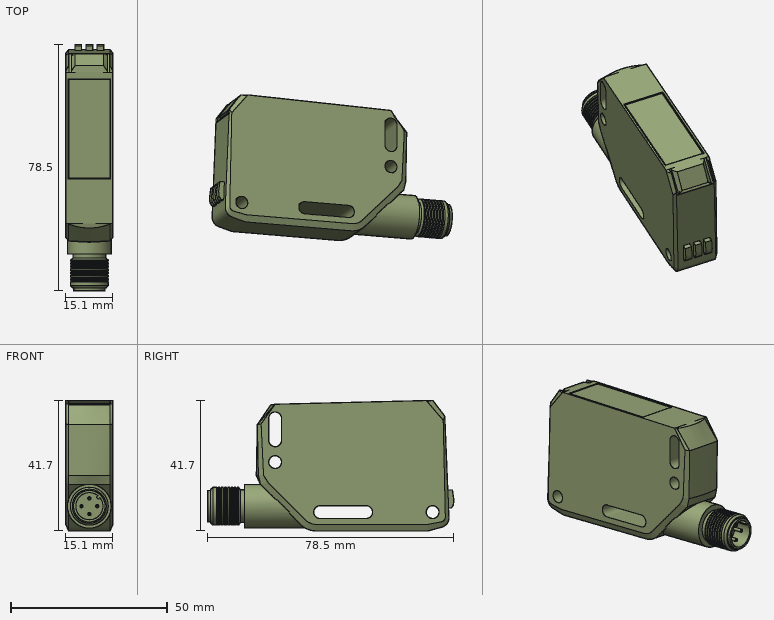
import cadquery as cq
import math


width = 15.1
half_width = width / 2
edge_chamfer = 0.95
core_half_width = half_width - edge_chamfer
height = 41.7
top_peak_y = 71.75
top_slope = math.tan(math.radians(1.4))
top_back_y = 69.6
top_front_y = 21.5
front_top = (15.85, 33.9)
front_bottom = (16.2, 17.75)
chin = (16.9, 14.8)
bottom_front = (chin[0] + chin[1], 0)
bottom_back = (70.2, 0)
back_heel = (77.0, 1.9)
bottom_radius = 7.1
heel_radius = 3.15

bottom_inset = 2.1
face_heel = (75.8, 3.2)
face_back_top = (75.05, 35.3)
face_front_top = (17.0, 34.15)
face_front_bottom = (17.8, 17.75)
diagonal_inset = bottom_inset * math.sqrt(2)
face_chin_y = 19.2
face_chin = (face_chin_y, chin[0] + chin[1] + diagonal_inset - face_chin_y)
face_bottom_radius = bottom_radius - bottom_inset
face_heel_radius = 1.6

top_bulge = 0.1
brow = (21.3, 40.2)
brow_bulge = 1.25
front_bulge_top = 0.1
front_bulge_bottom = 0.7
chin_bulge = 0.1
bulge_root = 3.15

back_top = (75.5, 35.3)
channel_half_width = 6.4
lens_base_half_width = 5.7
lens_top_half_width = 4.55
rail_back = (75.6, 36.6)
lens_back = (75.5, 36.6)
lens_drop = 0.15
lens_root_y = 66.7
lens_peak_share = 0.06

panel_width = 13.6
panel_y_range = (35.7, 67.5)
panel_gap = 0.2
panel_gap_depth = 0.6
panel_recess = 0.15

hole_diameter = 4.0
upper_hole_y = 21.5
round_hole_z = 22.0
upright_slot_z_range = (26.9, 37.9)
lower_hole_z = 6.05
back_hole_y = 71.7
level_slot_y_range = (33.8, 52.5)

button_width = 2.2
button_pitch = 3.5
button_lower_end = (77.65, 7.3)
button_lower_bend = (78.3, 8.2)
button_tip = (78.5, 9.8)
button_upper_end = (78.0, 13.1)
button_root_y = 75.4

plug_z = 7.9
collar_radius = 7.0
collar_front_y = 11.7
collar_root_y = 32.2
collar_overlap = 0.4
neck_radius = 5.25
neck_front_y = 10.45
thread_radius = 6.05
thread_y_range = (1.7, 9.8)
tip_chamfer_radius = 5.4
tip_back_y = 0.95
tip_radius = 5.0
groove_count = 7
groove_pitch = 1.0
groove_first_y = 3.15
groove_depth = 0.4
groove_width = 0.6
bore_radius = 4.3
bore_depth = 6.3
pin_radius = 0.51
pin_circle_radius = 2.5
pin_tip_y = 1.6
pin_tip_chamfer = 0.2
pin_count = 4
key_angle = 45
key_width = 0.95
key_reach = 3.6


def top_z(y):
    """Height of the sloping top at a given Y."""
    return height - (top_peak_y - y) * top_slope


top_back = (top_back_y, top_z(top_back_y))
top_front = (top_front_y, top_z(top_front_y))
top_peak = (top_peak_y, height)


def down_back_slope(foot):
    """Point a set share of the way from the top's back edge to the slope's foot."""
    return tuple(top + lens_peak_share * (low - top) for top, low in zip(top_back, foot))


face_back_middle = down_back_slope(face_back_top)
face_bottom_front = (sum(face_chin) - bottom_inset, bottom_inset)
face_bottom_back = (bottom_back[0], bottom_inset)


def outline(points, x, corner_radii):
    """Closed YZ outline at X; corner_radii maps a point's index to its rounding."""
    corners = [cq.Vector(x, y, z) for y, z in points]
    wire = cq.Wire.makePolygon(corners, close=True)
    for index, radius in corner_radii.items():
        corner = corners[index]
        vertex = min(wire.Vertices(), key=lambda v: (v.Center() - corner).Length)
        wire = wire.fillet2D(radius, [vertex])
    return wire


def make_housing():
    """Core slab with a ruled chamfer layer on each side."""
    core_points = [
        back_heel, rail_back, top_peak, top_back, top_front,
        front_top, front_bottom, chin, bottom_front, bottom_back,
    ]
    face_points = [
        face_heel, face_back_top, face_back_middle, top_back, top_front,
        face_front_top, face_front_bottom, face_chin, face_bottom_front, face_bottom_back,
    ]
    heel = core_points.index(back_heel)
    bottom = core_points.index(bottom_front)
    core_radii = {heel: heel_radius, bottom: bottom_radius}
    face_radii = {heel: face_heel_radius, bottom: face_bottom_radius}
    left = outline(core_points, -core_half_width, core_radii)
    right = outline(core_points, core_half_width, core_radii)
    left_face = outline(face_points, -half_width, face_radii)
    right_face = outline(face_points, half_width, face_radii)
    housing = cq.Workplane(cq.Solid.makeLoft([left, right], True))
    for pair in ([left_face, left], [right, right_face]):
        housing = housing.union(cq.Workplane(cq.Solid.makeLoft(pair, True)))
    return housing


def bulge_section(edge, bulge):
    """Level section of the front: an arc bowed toward -Y over a straight back."""
    y, z = edge
    start = cq.Vector(-core_half_width, y, z)
    end = cq.Vector(core_half_width, y, z)
    back = cq.Vector(0, bulge_root, 0)
    arc = cq.Edge.makeThreePointArc(start, cq.Vector(0, y - bulge, z), end)
    sides = [
        cq.Edge.makeLine(end, end + back),
        cq.Edge.makeLine(end + back, start + back),
        cq.Edge.makeLine(start + back, start),
    ]
    return cq.Wire.assembleEdges([arc] + sides)


def make_front_bulge():
    """Ruled layers down the front: brow slope, front face, chin."""
    sections = [
        bulge_section(chin, chin_bulge),
        bulge_section(front_bottom, front_bulge_bottom),
        bulge_section(front_top, front_bulge_top),
        bulge_section(brow, brow_bulge),
        bulge_section(top_front, top_bulge),
    ]
    return cq.Workplane(cq.Solid.makeLoft(sections, True))


def cut_lens_seat(body):
    """Cut the back slope down between the side rails, to seat the lens."""
    clearance = 2.35
    seat = (
        cq.Workplane("YZ")
        .polyline([
            top_back, back_top, (back_top[0] + clearance, back_top[1]),
            (back_top[0] + clearance, height + clearance), (top_back_y, height + clearance),
        ])
        .close()
        .extrude(channel_half_width, both=True)
    )
    return body.cut(seat)


def make_lens():
    """Raised block on the back slope, its sides leaning inward."""
    base = [top_back, down_back_slope(back_top), back_top, (lens_root_y, back_top[1])]
    crest = [top_back, (top_peak_y, height - lens_drop), lens_back, (lens_root_y, lens_back[1])]

    def section(points, x):
        return cq.Wire.makePolygon([cq.Vector(x, y, z) for y, z in points], close=True)

    layers = [
        section(base, -lens_base_half_width),
        section(crest, -lens_top_half_width),
        section(crest, lens_top_half_width),
        section(base, lens_base_half_width),
    ]
    return cq.Workplane(cq.Solid.makeLoft(layers, True))


def top_block(width_x, y_start, y_end, depth):
    """Cutter that sinks a rectangle to an even depth below the sloping top."""
    clearance = 0.8
    return (
        cq.Workplane("YZ")
        .polyline([
            (y_start, top_z(y_start) - depth), (y_end, top_z(y_end) - depth),
            (y_end, height + clearance), (y_start, height + clearance),
        ])
        .close()
        .extrude(width_x / 2, both=True)
    )


def cut_top_panel(body):
    y_start, y_end = panel_y_range
    pocket = top_block(panel_width, y_start, y_end, panel_gap_depth)
    panel = top_block(
        panel_width - 2 * panel_gap, y_start + panel_gap, y_end - panel_gap, panel_gap_depth
    ).cut(top_block(panel_width, y_start, y_end, panel_recess))
    return body.cut(pocket.cut(panel))


def cut_mounting_holes(body):
    slot_z_start, slot_z_end = upright_slot_z_range
    slot_y_start, slot_y_end = level_slot_y_range
    upright = (upper_hole_y, (slot_z_start + slot_z_end) / 2)
    level = ((slot_y_start + slot_y_end) / 2, lower_hole_z)
    side = cq.Workplane("YZ")
    holes = (
        side.pushPoints([(upper_hole_y, round_hole_z), (back_hole_y, lower_hole_z)])
        .circle(hole_diameter / 2)
        .extrude(width, both=True)
    )
    upright_slot = (
        side.center(*upright)
        .slot2D(slot_z_end - slot_z_start, hole_diameter, 90)
        .extrude(width, both=True)
    )
    level_slot = (
        cq.Workplane("YZ").center(*level)
        .slot2D(slot_y_end - slot_y_start, hole_diameter)
        .extrude(width, both=True)
    )
    return body.cut(holes).cut(upright_slot).cut(level_slot)


def make_buttons():
    button = (
        cq.Workplane("YZ")
        .polyline([
            (button_root_y, button_lower_end[1]), button_lower_end, button_lower_bend,
            button_tip, button_upper_end, (button_root_y, button_upper_end[1]),
        ])
        .close()
        .extrude(button_width / 2, both=True)
    )
    buttons = cq.Workplane()
    for step in (-1, 0, 1):
        buttons = buttons.add(button.translate((step * button_pitch, 0, 0)))
    return buttons.combine()


def revolve_about_plug_axis(profile):
    """Solid of revolution from (radius, y) points."""
    return (
        cq.Workplane("XY", origin=(0, 0, plug_z))
        .polyline(profile)
        .close()
        .revolve(360, (0, 0, 0), (0, 1, 0))
    )


def trim_collar_root(plug):
    """End the collar obliquely, just inside the housing's 45 degree underside."""
    foot_y = bottom_front[0] + collar_overlap
    beyond = (
        cq.Workplane("YZ")
        .polyline([(foot_y, 0), (foot_y - height, height), (foot_y + height, height)])
        .close()
        .extrude(width, both=True)
    )
    return plug.cut(beyond)


def make_plug():
    """Collar, neck, threaded end and tip, turned about the plug axis."""
    thread_front_y, thread_back_y = thread_y_range
    profile = [
        (0, collar_root_y), (collar_radius, collar_root_y), (collar_radius, collar_front_y),
        (neck_radius, collar_front_y), (neck_radius, neck_front_y),
        (thread_radius, thread_back_y), (thread_radius, thread_front_y),
        (tip_chamfer_radius, tip_back_y), (tip_radius, tip_back_y), (tip_radius, 0), (0, 0),
    ]
    plug = revolve_about_plug_axis(profile)
    for i in range(groove_count):
        y = groove_first_y + i * groove_pitch
        groove = [
            (thread_radius, y - groove_width / 2), (thread_radius - groove_depth, y),
            (thread_radius, y + groove_width / 2),
        ]
        plug = plug.cut(revolve_about_plug_axis(groove))
    return trim_collar_root(plug)


def plug_face():
    """Workplane on the plug tip, its normal pointing -Y out of the plug."""
    return cq.Workplane("XZ", origin=(0, 0, plug_z))


def cut_socket(body):
    """Bore in the plug tip, with its coding key and contact pins."""
    bore = plug_face().circle(bore_radius).extrude(-bore_depth)
    key_length = bore_radius - key_reach
    key = (
        plug_face().transformed(rotate=(0, 0, key_angle))
        .center(key_reach + key_length / 2, 0)
        .rect(key_length, key_width)
        .extrude(-bore_depth)
    )
    pins = (
        plug_face().workplane(offset=-bore_depth)
        .polarArray(pin_circle_radius, 0, 360, pin_count)
        .circle(pin_radius)
        .extrude(bore_depth - pin_tip_y)
        .faces("<Y").chamfer(pin_tip_chamfer)
    )
    return body.cut(bore.cut(key).cut(pins))


body = cut_lens_seat(make_housing()).union(make_front_bulge()).union(make_lens())
body = cut_mounting_holes(cut_top_panel(body))
body = body.union(make_buttons()).union(make_plug())
result = cut_socket(body)